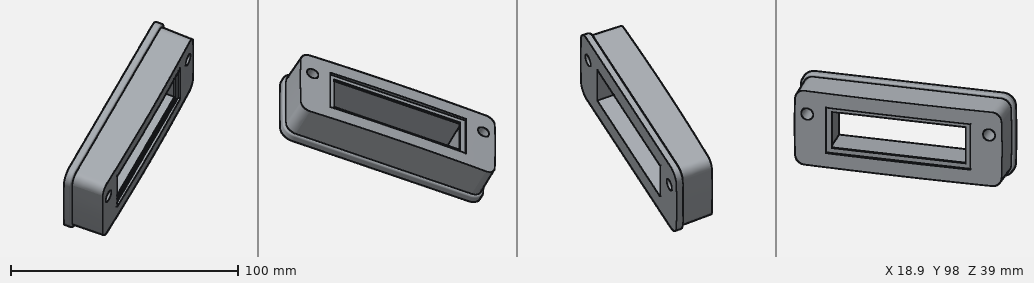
import cadquery as cq

depth = 18.9
length = 98.0
height = 39.0

flange_thickness = 3.5
flange_corner_radius = 5.9
flange_edge_round = 0.9
end_bulge = 0.5

flange_overhang_y = 1.2
flange_overhang_z = 1.3
body_corner_radius = 4.8
body_draft = 1.3
front_crown = 0.8

window_length = 64.1
window_height = 19.7
window_draft = 1.9
opening_length = 61.25
opening_height = 17.4
lip_thickness = 1.0
recess_length = 66.1
recess_height = 22.0
recess_depth = 1.5
window_depth = depth - recess_depth - lip_thickness

hole_diameter = 5.5
hole_spacing = 83.0
hole_height = 6.8


def bowed_outline(size_y, size_z):
    """Rectangle on the YZ plane whose two ends bow outwards."""
    half_y = size_y / 2
    half_z = size_z / 2
    corner_y = half_y - end_bulge
    return (
        cq.Workplane("YZ")
        .moveTo(-corner_y, -half_z)
        .lineTo(corner_y, -half_z)
        .threePointArc((half_y, 0), (corner_y, half_z))
        .lineTo(-corner_y, half_z)
        .threePointArc((-half_y, 0), (-corner_y, -half_z))
        .close()
    )


def make_flange():
    outline = bowed_outline(length, height).extrude(flange_thickness)
    return outline.edges("|X").fillet(flange_corner_radius).faces(">X").edges().fillet(flange_edge_round)


def make_body():
    """Drafted block whose front face is crowned along its length."""
    size_y = length - 2 * flange_overhang_y
    size_z = height - 2 * flange_overhang_z
    straight = bowed_outline(size_y, size_z).extrude(depth).edges("|X").fillet(body_corner_radius)
    drafted = straight.faces("<X").wires().toPending().workplane(invert=True).extrude(
        depth, taper=body_draft, combine=False
    )
    edge_x = depth - front_crown
    crown_limit = (
        cq.Workplane("XY", origin=(0, 0, -height / 2))
        .moveTo(0, -size_y / 2)
        .lineTo(edge_x, -size_y / 2)
        .threePointArc((depth, 0), (edge_x, size_y / 2))
        .lineTo(0, size_y / 2)
        .close()
        .extrude(height)
    )
    return drafted.intersect(crown_limit)


def make_window():
    """Drafted display pocket, lipped opening and front recess."""
    pocket = cq.Workplane("YZ").rect(window_length, window_height).extrude(window_depth, taper=window_draft)
    opening = cq.Workplane("YZ").rect(opening_length, opening_height).extrude(depth)
    recess = (
        cq.Workplane("YZ", origin=(depth - recess_depth, 0, 0))
        .rect(recess_length, recess_height)
        .extrude(recess_depth)
    )
    return pocket.union(opening).union(recess)


def make_screw_holes():
    centres = [(side * hole_spacing / 2, hole_height) for side in (-1, 1)]
    return cq.Workplane("YZ").pushPoints(centres).circle(hole_diameter / 2).extrude(depth)


result = make_flange().union(make_body()).cut(make_window()).cut(make_screw_holes())